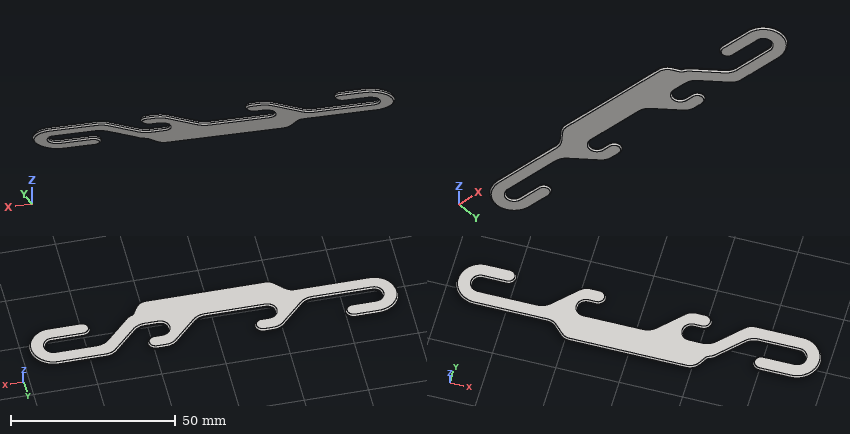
import cadquery as cq
import math

LENGTH = 115.0
WIDTH = 20.0
THICKNESS = 1.5
EDGE_CHAMFER = 0.5

BAND = WIDTH / 4
BAR_BOTTOM = 0.0
STRAP_BOTTOM = BAND
STRAP_TOP = 2 * BAND
ARM_BOTTOM = 3 * BAND
ARM_TOP = WIDTH

TIP_RADIUS = BAND / 2
SLOT_RADIUS = BAND / 2
END_HOOK_RADIUS = BAND + SLOT_RADIUS
BEND_RADIUS = 5.0

LEFT_TIP = 17.5
RIGHT_TIP = 95.0

SIDE_HOOK_STARTS = (28.3, 61.7)
SIDE_HOOK_SLOT = 10.0
SIDE_HOOK_TIP = 17.5

ARM_START = 80.45
ARM_UNDERSIDE_START = ARM_START + BAND * math.sqrt(2)

BAR_LEFT = 37.2
BAR_LEFT_RADIUS = 4.0
BAR_RIGHT = 78.5
BAR_RIGHT_RADIUS = 4.6
NOTCH_X = 81.3
NOTCH_Y = 4.75
NOTCH_RADIUS = 1.0
LEDGE_Y = 5.5
LEDGE_RADIUS = 4.0

SHORTEST_EDGE = 1e-6


def slant_x(start, level):
    """X position at a level on the 45 degree line that crosses the strap top at start."""
    return start + level - STRAP_TOP


def left_hook():
    """Corners from the strap's underside around the left hook and its slot."""
    return [
        (0, STRAP_BOTTOM, END_HOOK_RADIUS),
        (0, ARM_TOP, END_HOOK_RADIUS),
        (LEFT_TIP, ARM_TOP, TIP_RADIUS),
        (LEFT_TIP, ARM_BOTTOM, TIP_RADIUS),
        (BAND, ARM_BOTTOM, SLOT_RADIUS),
        (BAND, STRAP_TOP, SLOT_RADIUS),
    ]


def side_hook(start):
    """Corners of one side hook, up its slanted back and around its slot."""
    slot_end = start + SIDE_HOOK_SLOT
    tip = start + SIDE_HOOK_TIP
    return [
        (start, STRAP_TOP, BEND_RADIUS),
        (slant_x(start, ARM_TOP), ARM_TOP, BEND_RADIUS),
        (tip, ARM_TOP, TIP_RADIUS),
        (tip, ARM_BOTTOM, TIP_RADIUS),
        (slot_end, ARM_BOTTOM, SLOT_RADIUS),
        (slot_end, STRAP_TOP, SLOT_RADIUS),
    ]


def right_hook():
    """Corners up the slanted arm, around the right hook and back to the arm's underside."""
    slot_end = LENGTH - BAND
    return [
        (ARM_START, STRAP_TOP, BEND_RADIUS),
        (slant_x(ARM_START, ARM_TOP), ARM_TOP, BEND_RADIUS),
        (LENGTH, ARM_TOP, END_HOOK_RADIUS),
        (LENGTH, STRAP_BOTTOM, END_HOOK_RADIUS),
        (RIGHT_TIP, STRAP_BOTTOM, TIP_RADIUS),
        (RIGHT_TIP, STRAP_TOP, TIP_RADIUS),
        (slot_end, STRAP_TOP, SLOT_RADIUS),
        (slot_end, ARM_BOTTOM, SLOT_RADIUS),
        (slant_x(ARM_UNDERSIDE_START, ARM_BOTTOM), ARM_BOTTOM, BEND_RADIUS),
    ]


def label_bar():
    """Corners from the arm's underside around the label bar to the strap's underside."""
    return [
        (slant_x(ARM_UNDERSIDE_START, LEDGE_Y), LEDGE_Y, LEDGE_RADIUS),
        (NOTCH_X, NOTCH_Y, NOTCH_RADIUS),
        (BAR_RIGHT, BAR_BOTTOM, BAR_RIGHT_RADIUS),
        (BAR_LEFT, BAR_BOTTOM, BAR_LEFT_RADIUS),
        (BAR_LEFT - BAND, STRAP_BOTTOM, BAR_LEFT_RADIUS),
    ]


def corner_arc(previous_point, corner, next_point, radius):
    """Start, middle and end of the arc that rounds a corner."""
    to_previous = (previous_point - corner).normalized()
    to_next = (next_point - corner).normalized()
    bisector = (to_previous + to_next).normalized()
    half_angle = to_previous.getAngle(to_next) / 2
    tangent_length = radius / math.tan(half_angle)
    middle_distance = radius / math.sin(half_angle) - radius
    return (
        corner + to_previous * tangent_length,
        corner + bisector * middle_distance,
        corner + to_next * tangent_length,
    )


def rounded_outline(corners):
    """Closed wire through (x, y, radius) corners, each rounded by a tangent arc."""
    points = [cq.Vector(x, y) for x, y, _ in corners]
    next_points = points[1:] + points[:1]
    arcs = [
        corner_arc(points[i - 1], points[i], next_points[i], radius)
        for i, (_, _, radius) in enumerate(corners)
    ]
    edges = []
    for i, (start, middle, end) in enumerate(arcs):
        previous_end = arcs[i - 1][2]
        if (start - previous_end).Length > SHORTEST_EDGE:
            edges.append(cq.Edge.makeLine(previous_end, start))
        edges.append(cq.Edge.makeThreePointArc(start, middle, end))
    return cq.Wire.assembleEdges(edges)


outline = left_hook()
for hook_start in SIDE_HOOK_STARTS:
    outline += side_hook(hook_start)
outline += right_hook() + label_bar()

plate = cq.Solid.extrudeLinear(rounded_outline(outline), [], cq.Vector(0, 0, THICKNESS))
result = cq.Workplane(plate).faces("<Z or >Z").chamfer(EDGE_CHAMFER)